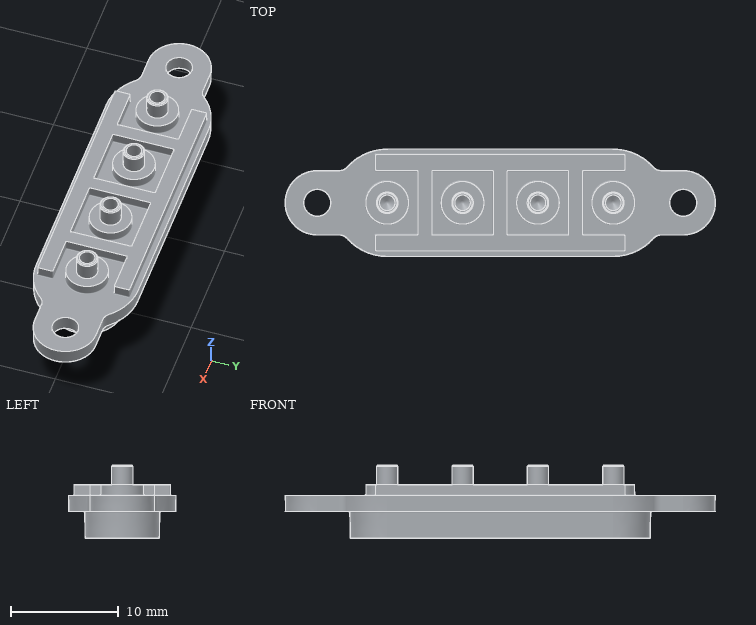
import cadquery as cq
import math

PIN_COUNT = 4
PIN_PITCH = 7.0
PIN_RADIUS = 1.0
PIN_TOP = 6.8
PIN_CHAMFER = 0.1
CUP_RADIUS = 0.7
CUP_DEPTH = 1.8
CUP_CONE_DEPTH = 0.4

FLANGE_BOTTOM = 2.5
FLANGE_TOP = 4.0
RAIL_TOP = 5.0

FLANGE_LENGTH = 40.0
FLANGE_WIDTH = 10.0
LUG_WIDTH = 6.0
NECK_RADIUS = 1.0
MOUNT_HOLE_RADIUS = 1.25

PLUG_WIDTH = 7.0
PLUG_EDGE_CHAMFER = 0.05

FRAME_LENGTH = 23.2
FRAME_WIDTH = 9.0
RAIL_GAP = 5.95
CROSSBAR_WIDTH = 1.3
FRAME_CORNER_RADIUS = 0.1
BOSS_RADIUS = 2.0

DRAFT = 1.0

ROOT_FILLET = 0.095

END_PIN_X = PIN_PITCH * (PIN_COUNT - 1) / 2
PIN_XS = [index * PIN_PITCH - END_PIN_X for index in range(PIN_COUNT)]
PIN_CENTRES = [(x, 0) for x in PIN_XS]
CROSSBAR_CENTRES = [(x + PIN_PITCH / 2, 0) for x in PIN_XS[:-1]]
LUG_RADIUS = LUG_WIDTH / 2
LUG_X = FLANGE_LENGTH / 2 - LUG_RADIUS
RAIL_WIDTH = (FRAME_WIDTH - RAIL_GAP) / 2
RAIL_Y = (FRAME_WIDTH + RAIL_GAP) / 4


def make_flange():
    """Plate whose round-ended middle runs into the two lugs through concave necks."""
    middle_radius = FLANGE_WIDTH / 2
    shoulder_x = END_PIN_X + math.sqrt(middle_radius**2 - LUG_RADIUS**2)
    thickness = FLANGE_TOP - FLANGE_BOTTOM
    level = cq.Workplane("XY").workplane(offset=FLANGE_TOP)
    middle = level.slot2D(2 * END_PIN_X + FLANGE_WIDTH, FLANGE_WIDTH).extrude(-thickness, taper=DRAFT)
    lugs = level.slot2D(FLANGE_LENGTH, LUG_WIDTH).extrude(-thickness, taper=DRAFT)
    plate = middle.union(lugs)
    for x in (-shoulder_x, shoulder_x):
        for y in (-LUG_RADIUS, LUG_RADIUS):
            corner = cq.selectors.NearestToPointSelector((x, y, (FLANGE_BOTTOM + FLANGE_TOP) / 2))
            plate = plate.edges(corner).fillet(NECK_RADIUS)
    holes = level.pushPoints([(-LUG_X, 0), (LUG_X, 0)]).circle(MOUNT_HOLE_RADIUS).extrude(-thickness)
    return plate.cut(holes)


def make_plug():
    """Round-ended block under the flange, with its bottom edge broken."""
    level = cq.Workplane("XY").workplane(offset=FLANGE_BOTTOM)
    plug = level.slot2D(2 * END_PIN_X + PLUG_WIDTH, PLUG_WIDTH).extrude(-FLANGE_BOTTOM, taper=DRAFT)
    return plug.faces("<Z").edges().chamfer(PLUG_EDGE_CHAMFER)


def make_frame():
    """Two long rails joined by a crossbar between each pair of neighbouring pins."""
    height = RAIL_TOP - FLANGE_TOP
    level = cq.Workplane("XY").workplane(offset=FLANGE_TOP)
    rail_outlines = level.pushPoints([(0, -RAIL_Y), (0, RAIL_Y)]).rect(FRAME_LENGTH, RAIL_WIDTH)
    rails = rail_outlines.extrude(height, taper=DRAFT)
    crossbar_outlines = level.pushPoints(CROSSBAR_CENTRES).rect(CROSSBAR_WIDTH, 2 * RAIL_Y)
    crossbars = crossbar_outlines.extrude(height, taper=DRAFT)
    return rails.union(crossbars).edges("not #Z").fillet(FRAME_CORNER_RADIUS)


def make_bosses():
    """Round pads that surround the pins."""
    level = cq.Workplane("XY").workplane(offset=FLANGE_TOP)
    height = RAIL_TOP - FLANGE_TOP
    return level.pushPoints(PIN_CENTRES).circle(BOSS_RADIUS).extrude(height, taper=DRAFT)


def make_housing():
    """Flange, plug, frame and bosses in one solid, filleted at the roots and bored for the pins."""
    housing = make_flange().union(make_plug()).union(make_frame()).union(make_bosses())
    root_reach_x = END_PIN_X + PLUG_WIDTH / 2 + ROOT_FILLET
    root_reach_y = FRAME_WIDTH / 2 + ROOT_FILLET
    for z in (FLANGE_BOTTOM, FLANGE_TOP):
        root_box = cq.selectors.BoxSelector(
            (-root_reach_x, -root_reach_y, z - ROOT_FILLET),
            (root_reach_x, root_reach_y, z + ROOT_FILLET),
            boundingbox=True,
        )
        housing = housing.edges(root_box).fillet(ROOT_FILLET)
    bores = cq.Workplane("XY").pushPoints(PIN_CENTRES).circle(PIN_RADIUS).extrude(RAIL_TOP)
    return housing.cut(bores)


def make_pin(x):
    """Round pin through the housing, with a cone-bottomed cup in its top."""
    cup_floor = PIN_TOP - CUP_DEPTH
    half_section = [
        (0, 0),
        (PIN_RADIUS, 0),
        (PIN_RADIUS, PIN_TOP - PIN_CHAMFER),
        (PIN_RADIUS - PIN_CHAMFER, PIN_TOP),
        (CUP_RADIUS, PIN_TOP),
        (CUP_RADIUS, cup_floor),
        (0, cup_floor - CUP_CONE_DEPTH),
    ]
    pin = cq.Workplane("XZ").polyline(half_section).close().revolve(360, (0, 0), (0, 1))
    return pin.translate((x, 0, 0))


housing = make_housing()
pins = [make_pin(x) for x in PIN_XS]
result = cq.Compound.makeCompound([housing.val(), *[pin.val() for pin in pins]])